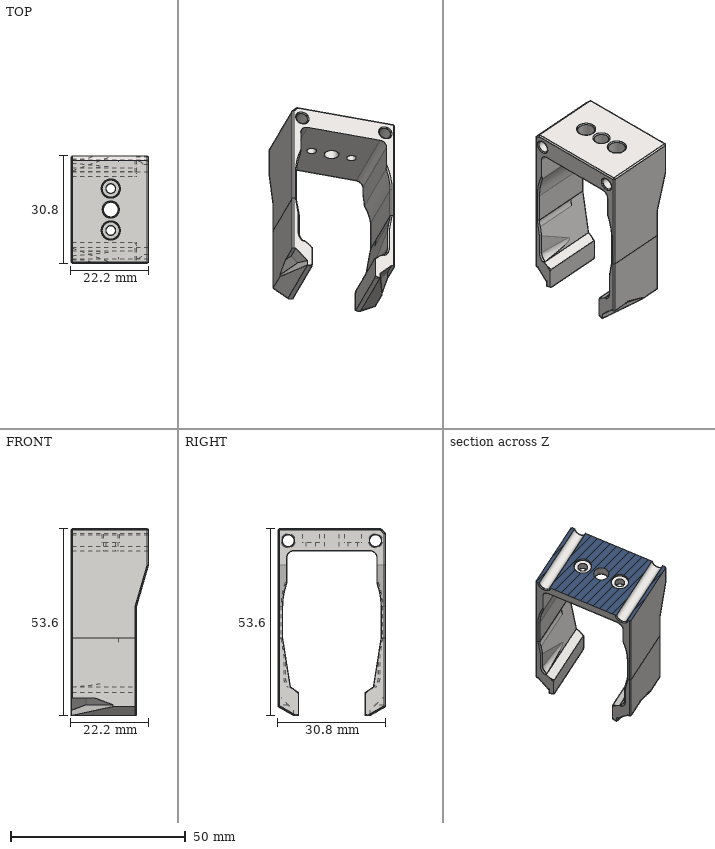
import cadquery as cq
import math

DEPTH = 22.19
LEG_DEPTH = 18.7
WIDTH = 30.8
HEIGHT = 53.6
SPLIT_Z = -31.4
REAR_TAPER_TOP_Z = -10.4
REAR_TAPER_BOTTOM_Z = -22.4
OUTER_CHAMFER = 0.4
KEY_CHAMFER = 1.4

TOP_THICKNESS = 6.4
NECK_HALF_WIDTH = 12.9
NECK_FILLET = 2.0
WAIST_HALF_WIDTH = 14.1
FLARE_START_Z = -15.6
FLARE_END_Z = -22.5
INNER_CHAMFER = 0.45

RIDGE_HALF_WIDTH = 11.87
RIDGE_Z = -45.45
LIP_HALF_WIDTH = 9.5
RAMP_ANGLE = 33.0
FOOT_HALF_WIDTH = 10.93
FOOT_ANGLE = 30.0
LIP_NICK_X = 0.4
LIP_NICK_Y = 1.2
LIP_NICK_Z = 0.4

POCKET_HALF_WIDTH = 13.3
POCKET_RUN = 10.5
POCKET_CONVERGENCE = 1.0

JOINT_RELIEF_LENGTH = 13.6
JOINT_RELIEF_HEIGHT = 2.2

CORNER_RELIEF_TOP_Z = -48.55
CORNER_RELIEF_STRAIGHT_Z = -52.1
CORNER_RELIEF_OBLIQUE_Z = -50.5
CORNER_RELIEF_LENGTH = 12.0

DOWEL_DIAMETER = 3.4
DOWEL_Y = 12.5
DOWEL_Z = -3.5
DOWEL_CHAMFER = 0.3
TOP_HOLE_X = 11.35
SCREW_SPACING = 12.0
SCREW_DIAMETER = 2.7
COUNTERBORE_DIAMETER = 4.9
COUNTERBORE_DEPTH = 4.0
COUNTERBORE_CHAMFER = 0.3
CENTRE_DIAMETER = 4.2
CENTRE_CHAMFER = 0.35

HALF_WIDTH = WIDTH / 2
LIP_Z = RIDGE_Z - (RIDGE_HALF_WIDTH - LIP_HALF_WIDTH) * math.tan(math.radians(RAMP_ANGLE))
FOOT_EDGE_Z = -HEIGHT + (HALF_WIDTH - FOOT_HALF_WIDTH) * math.tan(math.radians(FOOT_ANGLE))
WALL_LEAN = (WAIST_HALF_WIDTH - RIDGE_HALF_WIDTH) / (SPLIT_Z - RIDGE_Z)

POCKET_TURN = math.radians(90 - RAMP_ANGLE)
POCKET_FILLET = (POCKET_HALF_WIDTH - RIDGE_HALF_WIDTH) / (1 - math.cos(POCKET_TURN))
POCKET_ARC_Y = POCKET_HALF_WIDTH - POCKET_FILLET
POCKET_ARC_Z = RIDGE_Z + POCKET_FILLET * math.sin(POCKET_TURN)
POCKET_ARC_MIDDLE = (
    POCKET_ARC_Y + POCKET_FILLET * math.cos(POCKET_TURN / 2),
    POCKET_ARC_Z - POCKET_FILLET * math.sin(POCKET_TURN / 2),
)

FLARE_RISE = FLARE_START_Z - FLARE_END_Z
FLARE_SAG = WAIST_HALF_WIDTH - NECK_HALF_WIDTH
FLARE_TOP_Z = FLARE_START_Z + FLARE_SAG
FLARE_RADIUS = (FLARE_RISE**2 + FLARE_SAG**2) / (2 * FLARE_SAG)

CLEARANCE = 5.0
TOLERANCE = 0.001


def flare_point(z):
    """Point of the flare arc of the +Y wall at height z."""
    offset = math.sqrt(FLARE_RADIUS**2 - (z - FLARE_END_Z)**2)
    return (WAIST_HALF_WIDTH - FLARE_RADIUS + offset, z)


def mirror_y(shape):
    return shape.mirror("XZ")


def on_both_sides(shape):
    return shape.union(mirror_y(shape))


def region(y_min, y_max, z_min, z_max):
    """Block over the full depth, used to pick out part of a shape."""
    return (
        cq.Workplane("XY")
        .box(DEPTH + CLEARANCE * 2, y_max - y_min, z_max - z_min, centered=False)
        .translate((-CLEARANCE, y_min, z_min))
    )


def arch_blank():
    """Whole U-shaped clamp before it is divided into bracket and jaws."""
    half = (
        cq.Workplane("YZ")
        .moveTo(0, 0)
        .lineTo(HALF_WIDTH, 0)
        .lineTo(HALF_WIDTH, FOOT_EDGE_Z)
        .lineTo(FOOT_HALF_WIDTH, -HEIGHT)
        .lineTo(LIP_HALF_WIDTH, -HEIGHT)
        .lineTo(LIP_HALF_WIDTH, LIP_Z)
        .lineTo(RIDGE_HALF_WIDTH, RIDGE_Z)
        .lineTo(WAIST_HALF_WIDTH, SPLIT_Z)
        .lineTo(WAIST_HALF_WIDTH, FLARE_END_Z)
        .threePointArc(
            flare_point((FLARE_START_Z + FLARE_END_Z) / 2),
            (NECK_HALF_WIDTH, FLARE_START_Z),
        )
        .lineTo(NECK_HALF_WIDTH, -TOP_THICKNESS - NECK_FILLET)
        .radiusArc((NECK_HALF_WIDTH - NECK_FILLET, -TOP_THICKNESS), -NECK_FILLET)
        .lineTo(0, -TOP_THICKNESS)
        .close()
        .extrude(DEPTH)
    )
    rear_step = (
        cq.Workplane("XZ")
        .moveTo(DEPTH, REAR_TAPER_TOP_Z)
        .lineTo(LEG_DEPTH, REAR_TAPER_BOTTOM_Z)
        .lineTo(LEG_DEPTH, -HEIGHT - CLEARANCE)
        .lineTo(DEPTH + CLEARANCE, -HEIGHT - CLEARANCE)
        .lineTo(DEPTH + CLEARANCE, REAR_TAPER_TOP_Z)
        .close()
        .extrude(HALF_WIDTH + CLEARANCE, both=True)
    )
    return on_both_sides(half).cut(rear_step)


def is_outer_edge(edge):
    """Outer edges of the front and rear, the rear ends of the sloped underside, the -Y top edge."""
    centre = edge.Center()
    box = edge.BoundingBox()
    flat_in_x = box.xlen < TOLERANCE
    runs_down_a_side = box.ylen < TOLERANCE and box.zlen > TOLERANCE
    on_outside = (
        abs(abs(centre.y) - HALF_WIDTH) < TOLERANCE
        or centre.z > -KEY_CHAMFER
        or (centre.z < FOOT_EDGE_Z and abs(centre.y) > FOOT_HALF_WIDTH and centre.x > TOLERANCE)
    )
    plain_top_edge = box.xlen > DEPTH - TOLERANCE and centre.z > -TOLERANCE and centre.y < 0
    return ((flat_in_x or runs_down_a_side) and on_outside) or plain_top_edge


def chamfered_arch():
    """Arch with its key chamfer and the fine chamfer around its outside edges."""
    arch = arch_blank()
    arch = arch.edges(cq.selectors.BoxSelector(
        (-CLEARANCE, HALF_WIDTH - TOLERANCE, -TOLERANCE),
        (DEPTH + CLEARANCE, HALF_WIDTH + TOLERANCE, TOLERANCE),
    )).chamfer(KEY_CHAMFER)
    return arch.edges().filter(is_outer_edge).chamfer(OUTER_CHAMFER)


def oblique_prism(outline, run, drift):
    """Sweep a closed YZ outline back by `run` along X while it drifts by `drift` along Y."""
    face = cq.Face.makeFromWires(outline.wires().val())
    return cq.Workplane(cq.Solid.extrudeLinear(face, cq.Vector(run, drift, 0)))


def pocket_cutter():
    """Tapered pocket: upright wall with a rounded floor, converging until it fades out."""
    outline = (
        cq.Workplane("YZ")
        .moveTo(LIP_HALF_WIDTH, SPLIT_Z)
        .lineTo(POCKET_HALF_WIDTH, SPLIT_Z)
        .lineTo(POCKET_HALF_WIDTH, POCKET_ARC_Z)
        .threePointArc(POCKET_ARC_MIDDLE, (RIDGE_HALF_WIDTH, RIDGE_Z))
        .lineTo(LIP_HALF_WIDTH, RIDGE_Z)
        .close()
    )
    return oblique_prism(outline, LEG_DEPTH, -POCKET_CONVERGENCE * LEG_DEPTH / POCKET_RUN)


def joint_relief_cutter():
    """Arc that carries on the upright wall below the joint and meets the leaning wall."""
    drop = WALL_LEAN * JOINT_RELIEF_HEIGHT
    return (
        cq.Workplane("YZ")
        .moveTo(WAIST_HALF_WIDTH, SPLIT_Z)
        .threePointArc(
            (WAIST_HALF_WIDTH - drop / 4, SPLIT_Z - JOINT_RELIEF_HEIGHT / 2),
            (WAIST_HALF_WIDTH - drop, SPLIT_Z - JOINT_RELIEF_HEIGHT),
        )
        .lineTo(NECK_HALF_WIDTH, SPLIT_Z - JOINT_RELIEF_HEIGHT)
        .lineTo(NECK_HALF_WIDTH, SPLIT_Z)
        .close()
        .extrude(JOINT_RELIEF_LENGTH)
    )


def inner_chamfer_cutter():
    """45 degree chamfer of the front inner edge, from the flare down to the ridge."""
    pocket_top = SPLIT_Z - (WAIST_HALF_WIDTH - POCKET_HALF_WIDTH) / WALL_LEAN
    opening = (
        cq.Workplane("YZ")
        .moveTo(0, FLARE_TOP_Z)
        .lineTo(*flare_point(FLARE_TOP_Z))
        .threePointArc(flare_point(FLARE_START_Z), (WAIST_HALF_WIDTH, FLARE_END_Z))
        .lineTo(WAIST_HALF_WIDTH, SPLIT_Z)
        .lineTo(POCKET_HALF_WIDTH, pocket_top)
        .lineTo(POCKET_HALF_WIDTH, POCKET_ARC_Z)
        .threePointArc(POCKET_ARC_MIDDLE, (RIDGE_HALF_WIDTH, RIDGE_Z))
        .lineTo(0, RIDGE_Z)
        .close()
        .offset2D(INNER_CHAMFER, "intersection")
        .extrude(INNER_CHAMFER, taper=45)
    )
    return opening.intersect(region(0, WIDTH, RIDGE_Z, 0))


def corner_relief_cutter():
    """Outer front corner: a straight 45 degree relief bounded by an oblique one."""
    def outline(slope_bottom_z):
        slope_height = CORNER_RELIEF_TOP_Z - slope_bottom_z
        far_y = HALF_WIDTH + CLEARANCE
        slope_top_y = FOOT_HALF_WIDTH + slope_height
        return (
            cq.Workplane("YZ")
            .moveTo(FOOT_HALF_WIDTH, -HEIGHT - CLEARANCE)
            .lineTo(FOOT_HALF_WIDTH, slope_bottom_z)
            .lineTo(slope_top_y, CORNER_RELIEF_TOP_Z)
            .lineTo(far_y, CORNER_RELIEF_TOP_Z)
            .lineTo(far_y, -HEIGHT - CLEARANCE)
            .close()
        )

    straight = outline(CORNER_RELIEF_STRAIGHT_Z).extrude(LEG_DEPTH)
    drift = (HALF_WIDTH - FOOT_HALF_WIDTH) * LEG_DEPTH / CORNER_RELIEF_LENGTH
    oblique = oblique_prism(outline(CORNER_RELIEF_OBLIQUE_Z), LEG_DEPTH, drift)
    return straight.intersect(oblique)


def corner_nick(corner, along_x, along_y, along_z):
    """Tetrahedron at a corner, reaching the given point along each of its three edges."""
    tip = cq.Vector(*corner)
    base = [tip + cq.Vector(*leg) for leg in (along_x, along_y, along_z)]
    corners = [tip, *base]
    faces = [
        cq.Face.makeFromWires(cq.Wire.makePolygon(corners[:i] + corners[i + 1:], close=True))
        for i in range(len(corners))
    ]
    return cq.Workplane(cq.Solid.makeSolid(cq.Shell.makeShell(faces)))


def lip_nicks():
    """Nicks at the upper and lower corners of the lip, at its front and rear ends."""
    ramp_rise = LIP_NICK_Y * math.tan(math.radians(RAMP_ANGLE))
    nicks = cq.Workplane()
    for x, inward in ((0, LIP_NICK_X), (LEG_DEPTH, -LIP_NICK_X)):
        for z, rise, vertical in ((LIP_Z, ramp_rise, -LIP_NICK_Z), (-HEIGHT, 0, LIP_NICK_Z)):
            nicks = nicks.add(corner_nick(
                (x, LIP_HALF_WIDTH, z), (inward, 0, 0), (0, LIP_NICK_Y, rise), (0, 0, vertical)
            ))
    return nicks


def chamfered_hole(diameter, depth, chamfer):
    """Cutter for a hole going down from Z = 0, widened by a 45 degree chamfer at its mouth."""
    radius = diameter / 2
    return (
        cq.Workplane("XZ")
        .lineTo(radius + chamfer, 0)
        .lineTo(radius, -chamfer)
        .lineTo(radius, -depth)
        .lineTo(0, -depth)
        .close()
        .revolve(360, (0, 0, 0), (0, 1, 0))
    )


def top_holes():
    """Two counterbored screw holes and a larger hole between them."""
    holes = chamfered_hole(CENTRE_DIAMETER, TOP_THICKNESS, CENTRE_CHAMFER)
    for y in (-SCREW_SPACING / 2, SCREW_SPACING / 2):
        screw = cq.Workplane("XY").circle(SCREW_DIAMETER / 2).extrude(-TOP_THICKNESS)
        head = chamfered_hole(COUNTERBORE_DIAMETER, COUNTERBORE_DEPTH, COUNTERBORE_CHAMFER)
        holes = holes.union(screw.union(head).translate((0, y, 0)))
    return holes.translate((TOP_HOLE_X, 0, 0))


def dowel_holes():
    """Two holes running the full depth near the upper corners."""
    hole = chamfered_hole(DOWEL_DIAMETER, DEPTH, DOWEL_CHAMFER).rotate((0, 0, 0), (0, 1, 0), -90)
    return on_both_sides(hole.translate((0, DOWEL_Y, DOWEL_Z)))


def make_bracket(arch):
    """Top plate with the upper part of both legs."""
    upper = region(-WIDTH, WIDTH, SPLIT_Z, CLEARANCE)
    return arch.intersect(upper).cut(top_holes()).cut(dowel_holes())


def make_jaw(arch):
    """Jaw of the +Y leg."""
    jaw = arch.intersect(region(0, WIDTH, -HEIGHT - CLEARANCE, SPLIT_Z))
    jaw = jaw.cut(pocket_cutter()).cut(joint_relief_cutter()).cut(corner_relief_cutter())
    for nick in lip_nicks().vals():
        jaw = jaw.cut(cq.Workplane(nick))
    return jaw


arch = chamfered_arch().cut(on_both_sides(inner_chamfer_cutter()))
bracket = make_bracket(arch)
jaw = make_jaw(arch)
jaws = [jaw, mirror_y(jaw)]

result = cq.Compound.makeCompound([bracket.val(), *[body.val() for body in jaws]])